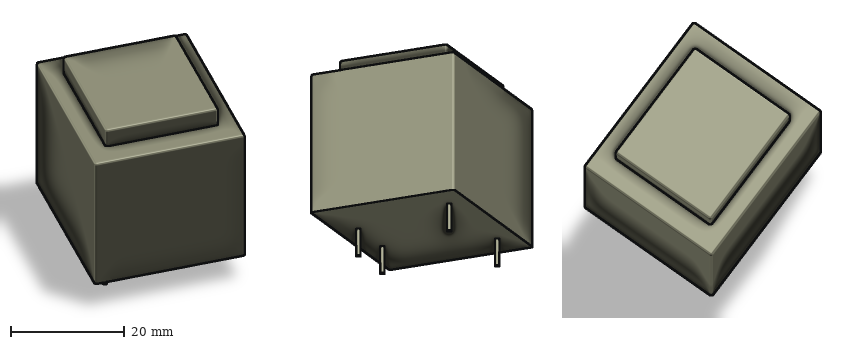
import cadquery as cq

case_length = 33.0
case_width = 28.0
case_height = 26.0
lid_length = 24.0
lid_width = 21.0
total_height = 34.5
pin_length = 5.0
pin_diameter = 0.8
edge_radius = 0.5

pin_pitch = 5.0
row_offset = 2 * pin_pitch
front_pin_offset = 2 * pin_pitch
rear_pin_offset = pin_pitch

lid_height = total_height - pin_length - case_height


def rounded_block(length, width, height, base_z):
    """Block with rounded upright and top edges and a sharp bottom."""
    block = cq.Workplane("XY").workplane(offset=base_z).rect(length, width).extrude(height)
    return block.edges("|Z or >Z").fillet(edge_radius)


case = rounded_block(case_length, case_width, case_height, 0)
lid = rounded_block(lid_length, lid_width, lid_height, case_height)

pin_centers = []
for row_y, pin_offset in ((-row_offset, front_pin_offset), (row_offset, rear_pin_offset)):
    for side in (-1, 1):
        pin_centers.append((side * pin_offset, row_y))

pins = cq.Workplane("XY").pushPoints(pin_centers).circle(pin_diameter / 2).extrude(-pin_length)

result = case.union(lid).union(pins)